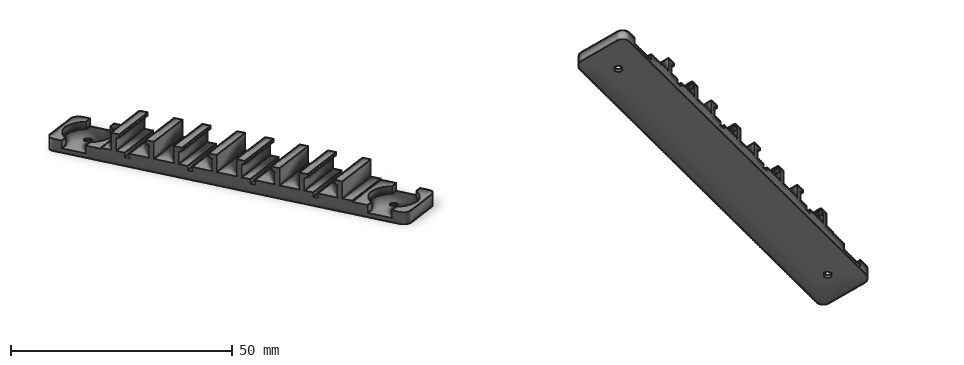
import cadquery as cq

length = 92.0
width = 14.0
end_height = 3.0
corner_radius = 1.9

deck_length = 64.0
deck_height = 3.3

total_height = 7.5
pair_count = 4
pair_pitch = 16.0
pair_width = 10.95
wall_thickness = 1.3
lip_overhang = 0.8
lip_edge_height = 0.7
lip_height = 1.3

groove_width = 1.2
groove_depth = 1.1
groove_offset = -1.4

seat_spacing = 78.0
seat_floor = 1.1
seat_diameter = 11.7
seat_channel_width = 6.1
screw_hole_diameter = 1.8


def make_base():
    plate = cq.Workplane("XY").box(length, width, end_height, centered=(True, True, False))
    plate = plate.edges("|Z").fillet(corner_radius)
    deck = cq.Workplane("XY").box(deck_length, width, deck_height, centered=(True, True, False))
    return plate.union(deck)


def make_clip_wall(outer_x, inward):
    """Hooked wall; inward is +1 or -1, the X direction in which its lip points."""
    inner_x = outer_x + inward * wall_thickness
    lip_x = inner_x + inward * lip_overhang
    return (
        cq.Workplane("XZ")
        .moveTo(outer_x, 0)
        .lineTo(outer_x, total_height)
        .lineTo(lip_x, total_height)
        .lineTo(lip_x, total_height - lip_edge_height)
        .lineTo(inner_x, total_height - lip_height)
        .lineTo(inner_x, 0)
        .close()
        .extrude(width / 2, both=True)
    )


def make_groove(center_x):
    return (
        cq.Workplane("XY", origin=(center_x, 0, deck_height - groove_depth))
        .box(groove_width, width, groove_depth, centered=(True, True, False))
    )


def make_screw_seat(center_x):
    """Cutter: round seat, channel across the plate and through hole."""
    seat_depth = end_height - seat_floor
    floor = cq.Workplane("XY", origin=(center_x, 0, seat_floor))
    seat = floor.circle(seat_diameter / 2).extrude(seat_depth)
    channel = floor.rect(seat_channel_width, width).extrude(seat_depth)
    hole = (
        cq.Workplane("XY", origin=(center_x, 0, 0))
        .circle(screw_hole_diameter / 2)
        .extrude(end_height)
    )
    return seat.union(channel).union(hole)


result = make_base()

for index in range(pair_count):
    pair_x = (index - (pair_count - 1) / 2) * pair_pitch
    for side in (-1, 1):
        result = result.union(make_clip_wall(pair_x + side * pair_width / 2, -side))
    result = result.cut(make_groove(pair_x + groove_offset))

for side in (-1, 1):
    result = result.cut(make_screw_seat(side * seat_spacing / 2))